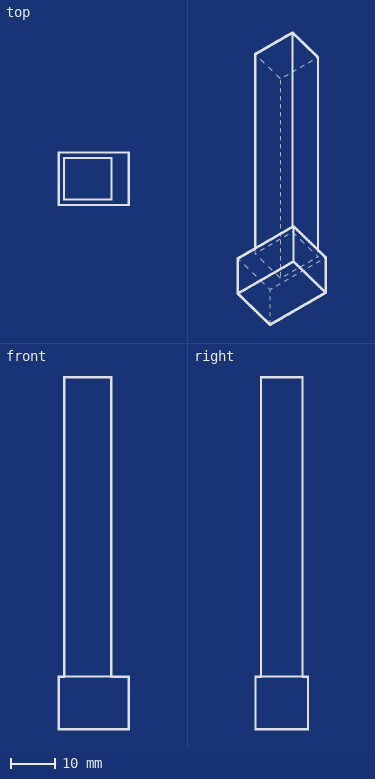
import cadquery as cq

base_length = 16.0
base_width = 12.0
base_height = 12.0

total_height = 80.0
shank_inset = 1.25
shank_length = 10.75
shank_width = base_width - 2 * shank_inset
shank_height = total_height - base_height


def make_base():
    """Rectangular foot with its lower face at Z = 0 and its -X face at X = 0."""
    return cq.Workplane("XY").box(
        base_length, base_width, base_height, centered=(False, True, False)
    )


def make_shank():
    """Long rectangular bar rising from the top of the foot."""
    return (
        cq.Workplane("XY")
        .box(shank_length, shank_width, shank_height, centered=(False, True, False))
        .translate((shank_inset, 0, base_height))
    )


result = make_base().union(make_shank())